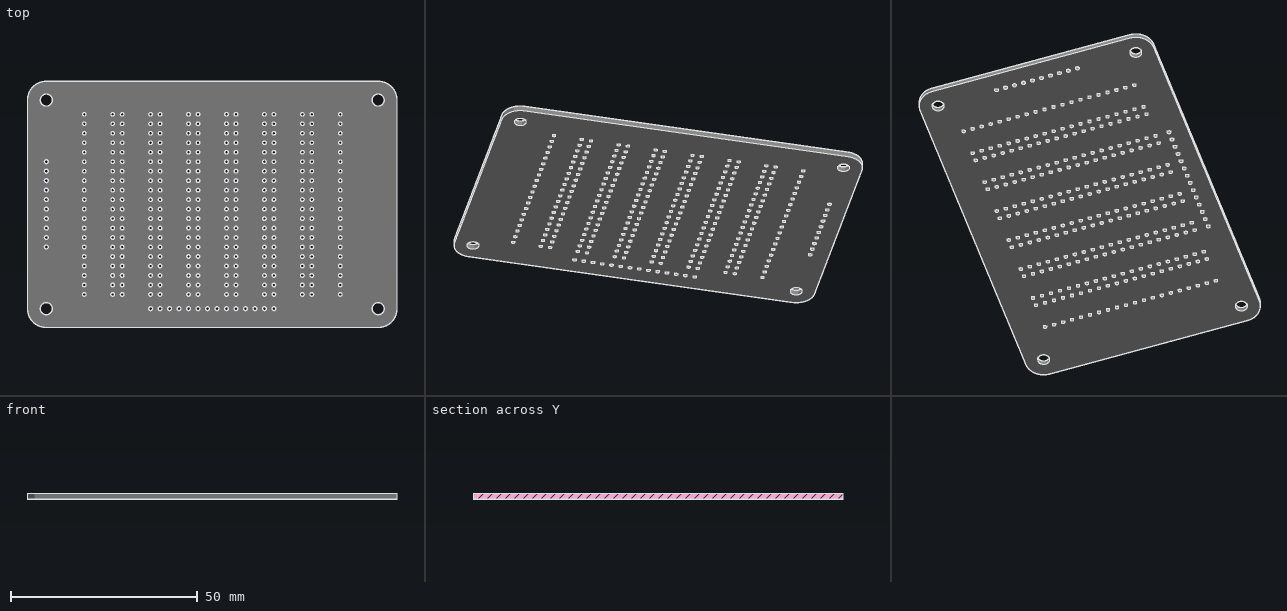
import cadquery as cq

length = 99.1
length_in_pitches = 39
width_in_pitches = 26
thickness = 1.6
pitch = length / length_in_pitches
width = width_in_pitches * pitch
corner_radius = 2 * pitch

mount_diameter = 3.2
mount_x = length / 2 - corner_radius
mount_y = width / 2 - corner_radius

field_diameter = 0.91
field_rows = 20
pair_count = 6
pair_spacing = 4 * pitch
outer_column_x = 13.5 * pitch

connector_diameter = 1.0
side_hole_count = 10
bottom_hole_count = 14


def centered_positions(count, spacing):
    """Evenly spaced coordinates, symmetric about zero."""
    return [(index - (count - 1) / 2) * spacing for index in range(count)]


def drill(plate, points, diameter):
    """Cut through holes of one diameter at the given points."""
    return plate.faces(">Z").workplane(origin=(0, 0, thickness)).pushPoints(points).hole(diameter)


def field_points():
    """Paired columns of holes, with a single column at each end."""
    columns = [-outer_column_x, outer_column_x]
    for pair_center in centered_positions(pair_count, pair_spacing):
        columns += [pair_center - pitch / 2, pair_center + pitch / 2]
    return [(x, y) for x in columns for y in centered_positions(field_rows, pitch)]


def connector_points():
    """One column along the -X side and one row along the -Y side."""
    side = [(-mount_x, y) for y in centered_positions(side_hole_count, pitch)]
    bottom = [(x, -mount_y) for x in centered_positions(bottom_hole_count, pitch)]
    return side + bottom


mount_points = [(x, y) for x in (-mount_x, mount_x) for y in (-mount_y, mount_y)]

result = cq.Workplane("XY").box(length, width, thickness, centered=(True, True, False))
result = result.edges("|Z").fillet(corner_radius)
result = drill(result, mount_points, mount_diameter)
result = drill(result, field_points(), field_diameter)
result = drill(result, connector_points(), connector_diameter)